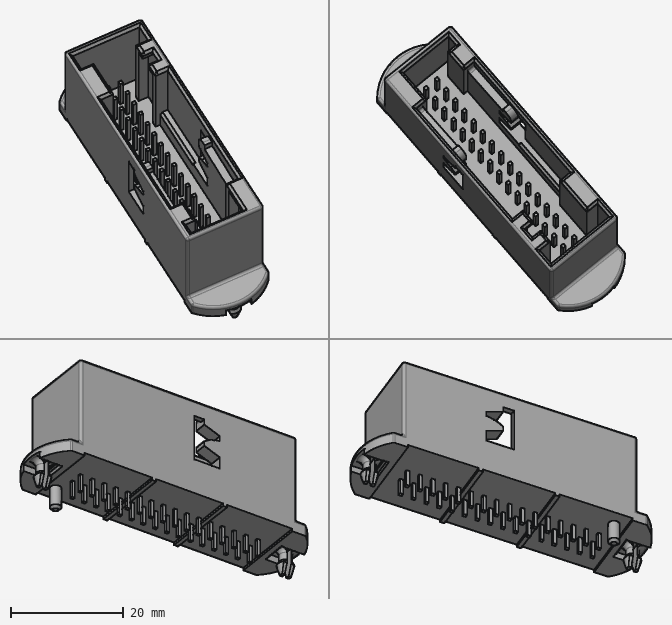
import cadquery as cq
import math

length = 57.55
depth = 15.6
top_z = 20.2
tip_z = -4.0

shroud_length = 46.55
flange_top_z = 2.65
flange_straight = 50.3
body_bottom_z = 0.5
pad_inner_x = 22.3
edge_round = 0.5

floor_z = 4.0
cavity_length = 43.95
cavity_depth = 13.45
lead_in = 0.5
key_y = 4.25
left_key = (-18.75, -11.2)
right_key_start = 15.5
front_right_key_end = 19.9
key_slot = (-16.1, -14.05)
key_wall = 1.15
key_back_y = 6.2
key_lip_z = 18.9

ledge_y = 5.2
ledge_z = 7.65
ledge_bevel = 0.5
window = (1.25, 6.75)
window_top_z = 16.85
latch_x = 3.4
latch_lobe_radius = 1.5
latch_lobe_end = 5.65
latch_lobe_z = 18.75
latch_top_z = 17.55
latch_top_right_z = 17.0
latch_end_round = 0.6

notch_start_z = 15.75
notch_high_z = 14.5
notch_low_z = 13.5
tooth_knee_x = 4.6
tooth_knee_z = 13.0
tooth_tip_high_z = 12.25
tooth_tip_low_z = 11.3
tooth_base_z = 10.0

pin_columns = 16
pin_span = 38.1
pitch = pin_span / (pin_columns - 1)
pin_center_x = 0.25
pin_size = 0.65
pin_top_z = 10.25
pin_bottom_z = -2.95

standoff_width = 0.85
standoff_columns = 3
peg_diameter = 2.15
peg_y = 4.8
peg_chamfer = 0.5
clip_x = 26.1
clip_recess_width = 5.1
clip_recess_z = 1.4
clip_recess_inner_x = 24.15
clip_step_z = 0.85
clip_step_inner_x = 23.6
clip_radius = 1.2
clip_half_width = 1.15
clip_root_round = 1.05
clip_gap = 0.85
barb_top_z = -1.2
barb_z = -1.9
barb_radius = 1.6
clip_tip_radius = 1.05
clip_tip_half_width = 0.4


def block(x_range, y_range, z_range):
    """Box given by its limits along each axis."""
    (x0, x1), (y0, y1), (z0, z1) = x_range, y_range, z_range
    return cq.Workplane("XY").box(x1 - x0, y1 - y0, z1 - z0, centered=False).translate((x0, y0, z0))


def outer_shell():
    """Solid shroud standing on a base with a round flange at each end."""
    half_y = depth / 2
    corner_x = flange_straight / 2
    base = (
        cq.Workplane("XY", origin=(0, 0, body_bottom_z))
        .moveTo(-corner_x, -half_y)
        .lineTo(corner_x, -half_y)
        .threePointArc((length / 2, 0), (corner_x, half_y))
        .lineTo(-corner_x, half_y)
        .threePointArc((-length / 2, 0), (-corner_x, -half_y))
        .close()
        .extrude(flange_top_z - body_bottom_z)
    )
    pads = base.faces("<Z").wires().toPending().workplane().extrude(body_bottom_z, combine=False)
    base = base.union(pads).clean().edges("|Z or >Z").fillet(edge_round)
    base = base.cut(block((-pad_inner_x, pad_inner_x), (-depth, depth), (0, body_bottom_z)))
    shroud = (
        cq.Workplane("XY", origin=(0, 0, body_bottom_z))
        .rect(shroud_length, depth)
        .extrude(top_z - body_bottom_z)
        .edges("|Z or >Z")
        .fillet(edge_round)
    )
    core = block(
        (-shroud_length / 2, shroud_length / 2), (-half_y, half_y), (body_bottom_z, flange_top_z - edge_round)
    )
    shell = base.union(core).union(shroud).clean()
    foot = cq.selectors.BoxSelector(
        (-length, -half_y / 2, flange_top_z - edge_round / 2),
        (length, half_y / 2, flange_top_z + edge_round / 2),
    )
    return shell.edges(foot).edges("|Y").fillet(edge_round)


def cavity():
    """Space inside the shroud, narrowed by the keying ribs and flared at its mouth."""
    half_x = cavity_length / 2
    half_y = cavity_depth / 2
    key_start, key_end = left_key
    slot_start, slot_end = key_slot
    outline = [
        (-half_x, -half_y),
        (key_start, -half_y),
        (key_start, -key_y),
        (key_end, -key_y),
        (key_end, -half_y),
        (right_key_start, -half_y),
        (right_key_start, -key_y),
        (front_right_key_end, -key_y),
        (front_right_key_end, -key_back_y),
        (half_x, -key_back_y),
        (half_x, key_y),
        (right_key_start, key_y),
        (right_key_start, half_y),
        (key_end, half_y),
        (key_end, key_y),
        (slot_end, key_y),
        (slot_end, key_back_y),
        (slot_start, key_back_y),
        (slot_start, key_y),
        (key_start, key_y),
        (key_start, half_y),
        (-half_x, half_y),
    ]
    space = cq.Workplane("XY", origin=(0, 0, floor_z)).polyline(outline).close().extrude(top_z - floor_z)
    mouth = (
        cq.Workplane("XY", origin=(0, 0, top_z))
        .polyline(outline)
        .close()
        .offset2D(lead_in, "intersection")
        .extrude(-lead_in, taper=45)
    )
    return space.union(mouth)


def key_pockets():
    """Hollows behind the rear ribs, closed on top by a lip."""
    heights = (floor_z, key_lip_z)
    reach = (0, key_back_y)
    left = block((left_key[0] + key_wall, left_key[1] - key_wall), reach, heights)
    right = block((right_key_start + key_wall, cavity_length / 2), reach, heights)
    return left.union(right)


def ledge():
    """Thick lower part of the rear wall, with a bevelled edge left of the window."""
    back_y = cavity_depth / 2
    slab = block((left_key[1], right_key_start), (ledge_y, back_y), (floor_z, ledge_z))
    bevel = (
        cq.Workplane("YZ", origin=(left_key[1], 0, 0))
        .moveTo(ledge_y, ledge_z)
        .lineTo(ledge_y + ledge_bevel, ledge_z)
        .lineTo(ledge_y, ledge_z - ledge_bevel)
        .close()
        .extrude(window[0] - left_key[1])
    )
    return slab.cut(bevel)


def wall_window():
    """Rectangular opening through the rear wall above the ledge."""
    return block(window, (ledge_y, depth), (ledge_z, window_top_z))


def latch_plate():
    """Latch on the rear wall: a lobed plate with a pointed tooth reaching into the window."""
    window_end = window[1]
    lobe_base_z = latch_lobe_z - latch_lobe_radius
    lobe_center_x = latch_x + latch_lobe_radius
    arc_shift = latch_lobe_radius * math.sqrt(0.5)
    round_inset = latch_end_round * (1 - math.sqrt(0.5))
    outline = (
        cq.Workplane("XZ", origin=(0, cavity_depth / 2, 0))
        .moveTo(latch_x, notch_start_z)
        .lineTo(latch_x, lobe_base_z)
        .threePointArc(
            (lobe_center_x - arc_shift, lobe_base_z + arc_shift), (lobe_center_x, latch_lobe_z)
        )
        .lineTo(latch_lobe_end, latch_lobe_z)
        .lineTo(latch_lobe_end, latch_top_z)
        .lineTo(right_key_start - latch_end_round, latch_top_right_z)
        .threePointArc(
            (right_key_start - round_inset, latch_top_right_z + round_inset),
            (right_key_start, latch_top_right_z + latch_end_round),
        )
        .lineTo(right_key_start, ledge_z)
        .lineTo(window_end, ledge_z)
        .lineTo(window_end, tooth_base_z)
        .lineTo(latch_x, tooth_tip_low_z)
        .lineTo(latch_x, tooth_tip_high_z)
        .lineTo(tooth_knee_x, tooth_knee_z)
        .lineTo(window_end, notch_low_z)
        .lineTo(window_end, notch_high_z)
        .close()
    )
    return outline.extrude(cavity_depth / 2 - ledge_y)


def window_filler():
    """Part of the latch that fills the window flush with the outer wall."""
    outer = block(window, (cavity_depth / 2, depth / 2), (ledge_z, window_top_z))
    through = latch_plate().translate((0, depth / 2 - cavity_depth / 2, 0))
    return outer.intersect(through)


def rows_of_pins():
    """Two rows of square contact pins."""
    return (
        cq.Workplane("XY", origin=(pin_center_x, 0, pin_bottom_z))
        .rarray(pitch, pitch, pin_columns, 2)
        .rect(pin_size, pin_size)
        .extrude(pin_top_z - pin_bottom_z)
    )


def standoffs():
    """Two ribs across the underside that rest on the circuit board."""
    return (
        cq.Workplane("XY", origin=(pin_center_x, 0, 0))
        .rarray(2 * standoff_columns * pitch, 0.6, 2, 1)
        .rect(standoff_width, depth)
        .extrude(body_bottom_z)
    )


def locating_peg():
    """Round peg half a pitch outside the first pin column."""
    peg_x = pin_center_x - pin_span / 2 - pitch / 2
    return (
        cq.Workplane("XY", origin=(peg_x, peg_y, tip_z))
        .circle(peg_diameter / 2)
        .extrude(floor_z - tip_z)
        .faces("<Z")
        .chamfer(peg_chamfer)
    )


def clip_recess():
    """Stepped recess under the right-hand flange, open at its round edge."""
    width = (-clip_recess_width / 2, clip_recess_width / 2)
    deep = block((clip_recess_inner_x, length), width, (0, clip_recess_z))
    shallow = block((clip_step_inner_x, length), width, (0, clip_step_z))
    return deep.union(shallow)


def board_clip():
    """Split snap-in post with a barb, under the right-hand flange."""
    root_inset = clip_root_round * (1 - math.sqrt(0.5))
    post = (
        cq.Workplane("XZ")
        .moveTo(0, clip_recess_z)
        .lineTo(clip_radius + clip_root_round, clip_recess_z)
        .threePointArc(
            (clip_radius + root_inset, clip_recess_z - root_inset),
            (clip_radius, clip_recess_z - clip_root_round),
        )
        .lineTo(clip_radius, barb_top_z)
        .lineTo(barb_radius, barb_z)
        .lineTo(clip_tip_radius, tip_z)
        .lineTo(0, tip_z)
        .close()
        .revolve(360, (0, 0, 0), (0, 1, 0))
    )
    side_limits = (
        cq.Workplane("YZ")
        .moveTo(-clip_half_width, flange_top_z)
        .lineTo(clip_half_width, flange_top_z)
        .lineTo(clip_half_width, barb_z)
        .lineTo(clip_tip_half_width, tip_z)
        .lineTo(-clip_tip_half_width, tip_z)
        .lineTo(-clip_half_width, barb_z)
        .close()
        .extrude(2 * barb_radius, both=True)
    )
    split = block((-clip_gap / 2, clip_gap / 2), (-depth, depth), (tip_z, clip_recess_z))
    return post.intersect(side_limits).cut(split).translate((clip_x, 0, 0))


def front_and_rear(rear):
    """Rear-wall feature together with its mirror image in the front wall."""
    return rear.union(rear.mirror("XZ"))


def both_ends(right):
    """Right-hand feature together with its mirror image at the left end."""
    return right.union(right.mirror("YZ"))


result = (
    outer_shell()
    .cut(cavity())
    .cut(key_pockets())
    .union(front_and_rear(ledge()))
    .cut(front_and_rear(wall_window()))
    .union(front_and_rear(latch_plate()))
    .union(front_and_rear(window_filler()))
    .cut(both_ends(clip_recess()))
    .union(both_ends(board_clip()))
    .union(standoffs())
    .union(locating_peg())
    .union(rows_of_pins())
)